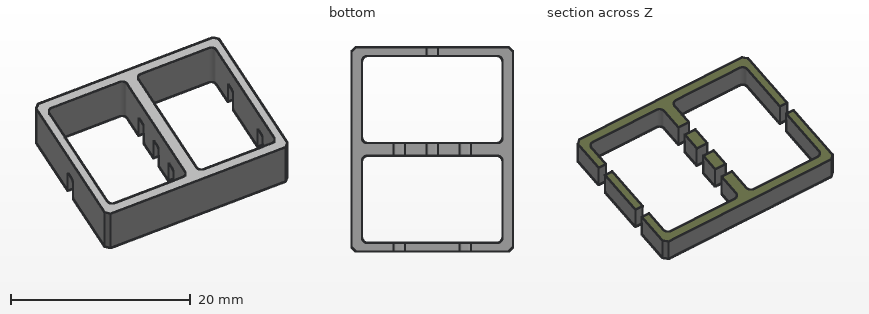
import cadquery as cq

length_x = 18.03
length_y = 22.8
height = 5.9
corner_chamfer = 0.5

side_wall = 1.2
end_wall = 1.0
cross_wall = 1.44
window_corner_radius = 0.6
window_x = length_x - 2 * side_wall
window_y = (length_y - 2 * end_wall - cross_wall) / 2
window_pitch = window_y + cross_wall

slot_width = 1.28
slot_height = 3.15
slot_corner_radius = 0.32
slot_pitch = 3.7
wall_centre_y = (length_y - end_wall) / 2


def make_frame():
    """Rectangular block with chamfered vertical edges and two rounded windows."""
    frame = (
        cq.Workplane("XY")
        .box(length_x, length_y, height, centered=(True, True, False))
        .edges("|Z")
        .chamfer(corner_chamfer)
    )
    for side in (-1, 1):
        window = (
            cq.Workplane("XY")
            .center(0, side * window_pitch / 2)
            .box(window_x, window_y, height, centered=(True, True, False))
            .edges("|Z")
            .fillet(window_corner_radius)
        )
        frame = frame.cut(window)
    return frame


def make_slot(x, wall_y, wall_thickness):
    """Slot through one wall, rounded at its two top corners."""
    return (
        cq.Workplane("XY")
        .box(slot_width, wall_thickness, slot_height, centered=(True, True, False))
        .edges("|Y and >Z")
        .fillet(slot_corner_radius)
        .translate((x, wall_y, 0))
    )


slotted_walls = [
    (-wall_centre_y, end_wall, (0,)),
    (0, cross_wall, (-slot_pitch, 0, slot_pitch)),
    (wall_centre_y, end_wall, (-slot_pitch, slot_pitch)),
]

result = make_frame()
for wall_y, wall_thickness, slot_positions in slotted_walls:
    for slot_x in slot_positions:
        result = result.cut(make_slot(slot_x, wall_y, wall_thickness))